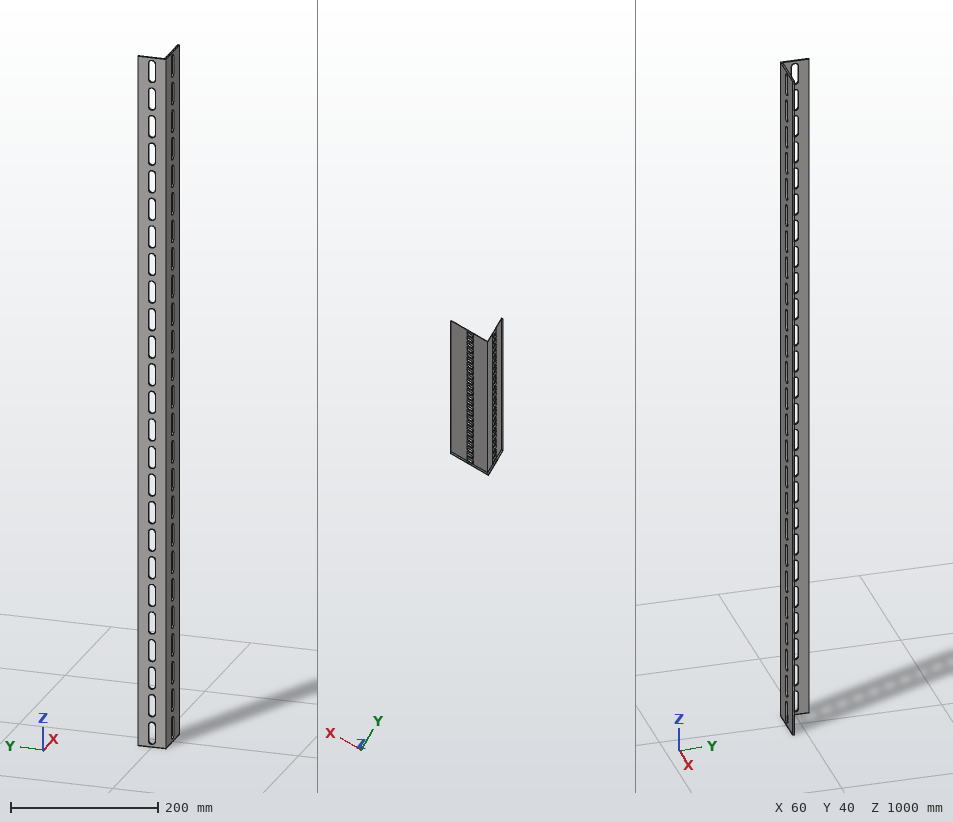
import cadquery as cq

length = 1000.0
front_width = 60.0
side_width = 40.0
thickness = 2.5

slot_pitch = 40.0
slot_length = 32.0
slot_width = 10.0
slot_count = round(length / slot_pitch)


def angle_profile():
    """L-shaped section extruded along Z, centred on the origin, with its corner at -X, -Y."""
    outer = cq.Workplane("XY").box(front_width, side_width, length)
    inner = (
        cq.Workplane("XY")
        .box(front_width, side_width, length)
        .translate((thickness, thickness, 0))
    )
    return outer.cut(inner)


def slot_row(plane):
    """Round-ended slots evenly spaced along Z, reaching past a flange on both sides of the plane."""
    return (
        cq.Workplane(plane)
        .rarray(10, slot_pitch, 1, slot_count)
        .slot2D(slot_length, slot_width, 90)
        .extrude(2 * thickness, both=True)
    )


front_slots = slot_row("XZ").translate((0, -side_width / 2, 0))
side_slots = slot_row("YZ").translate((-front_width / 2, 0, 0))

result = angle_profile().cut(front_slots).cut(side_slots)